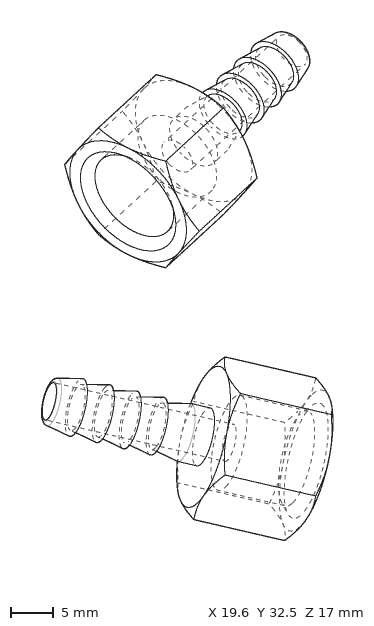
import cadquery as cq
import math

total_length = 32.5
across_flats = 17.0
nut_length = 13.0
corner_chamfer_angle = 30.0

socket_diameter = 11.47
socket_depth = 9.75
countersink_diameter = 13.9
countersink_angle = 45.0

bore_diameter = 4.5

barb_count = 5
barb_pitch = 3.4
barb_diameter = 7.0
barb_root_diameter = 5.6
tip_fillet = 0.5

across_corners = across_flats / math.cos(math.pi / 6)
corner_overhang = (across_corners - across_flats) / 2
corner_chamfer_depth = corner_overhang * math.tan(math.radians(corner_chamfer_angle))
countersink_depth = (countersink_diameter - socket_diameter) / 2 / math.tan(math.radians(countersink_angle))


def revolve_about_y(profile):
    """Revolve a closed (radius, y) profile around the Y axis."""
    return cq.Workplane("XY").polyline(profile).close().revolve(360, (0, 0, 0), (0, 1, 0))


def make_nut():
    """Hexagonal prism with corners along X, chamfered at both ends."""
    prism = cq.Workplane("XZ").polygon(6, across_corners).extrude(-nut_length)
    flat_radius = across_flats / 2
    corner_radius = across_corners / 2
    chamfer_envelope = revolve_about_y([
        (0, 0),
        (flat_radius, 0),
        (corner_radius, corner_chamfer_depth),
        (corner_radius, nut_length - corner_chamfer_depth),
        (flat_radius, nut_length),
        (0, nut_length),
    ])
    return prism.intersect(chamfer_envelope)


def make_hose_tail():
    """Plain neck followed by barbs that taper toward the rounded tip."""
    barb_radius = barb_diameter / 2
    root_radius = barb_root_diameter / 2
    first_barb = total_length - barb_count * barb_pitch
    profile = [(0, nut_length), (barb_radius, nut_length)]
    for index in range(barb_count):
        barb_start = first_barb + index * barb_pitch
        profile.append((barb_radius, barb_start))
        profile.append((root_radius, barb_start + barb_pitch))
    profile.append((0, total_length))
    return revolve_about_y(profile).faces(">Y").edges().fillet(tip_fillet)


def make_passage():
    """Countersunk socket and the through bore."""
    bore_radius = bore_diameter / 2
    socket_radius = socket_diameter / 2
    return revolve_about_y([
        (0, 0),
        (countersink_diameter / 2, 0),
        (socket_radius, countersink_depth),
        (socket_radius, socket_depth),
        (bore_radius, socket_depth),
        (bore_radius, total_length),
        (0, total_length),
    ])


result = make_nut().union(make_hose_tail()).cut(make_passage())